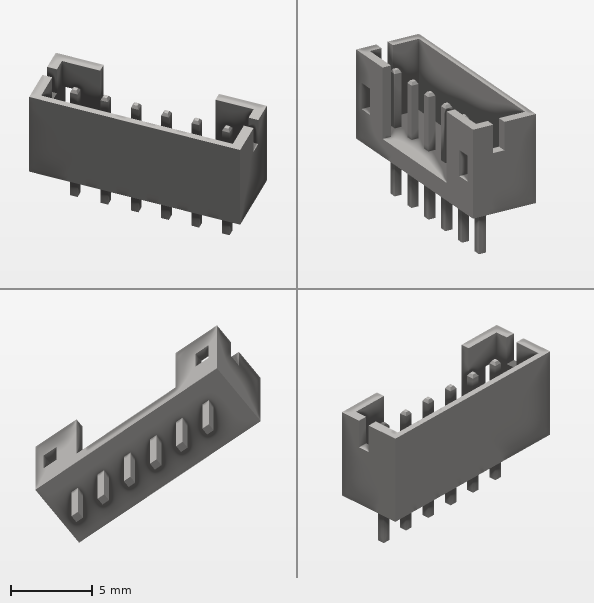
import cadquery as cq

length = 13.9
width = 4.5
height = 6.0
end_wall = 0.64
front_wall = 0.39
back_wall = 0.6
floor_thickness = 1.2

pin_count = 6
pin_pitch = 2.0
pin_size = 0.5
pin_to_back = 1.7
tail_length = 3.39
pin_tip_drop = 0.96
tip_taper_height = 0.2
tip_size = 0.26

back_opening_length = 7.59
notch_width = 0.8
notch_depth = 1.92
window_length = 1.0
window_bottom = 2.24
window_top = 4.0

back_y = pin_to_back
front_y = back_y - width
cavity_half_length = length / 2 - end_wall
cavity_front_y = front_y + front_wall
cavity_back_y = back_y - back_wall
notch_back_y = pin_size / 2


def block(x_range, y_range, z_range):
    """Box between the given limits along each axis."""
    (x0, x1), (y0, y1), (z0, z1) = x_range, y_range, z_range
    return cq.Workplane("XY").box(x1 - x0, y1 - y0, z1 - z0, centered=False).translate((x0, y0, z0))


def make_shroud():
    body = block((-length / 2, length / 2), (front_y, back_y), (0, height))
    cavity = block(
        (-cavity_half_length, cavity_half_length),
        (cavity_front_y, cavity_back_y),
        (floor_thickness, height),
    )
    back_opening = block(
        (-back_opening_length / 2, back_opening_length / 2),
        (cavity_back_y, back_y),
        (floor_thickness, height),
    )
    end_notches = block(
        (-length / 2, length / 2),
        (notch_back_y - notch_width, notch_back_y),
        (height - notch_depth, height),
    )
    return body.cut(cavity).cut(back_opening).cut(end_notches)


def make_back_windows():
    """Windows through the back wall, one against each end wall."""
    right_window = block(
        (cavity_half_length - window_length, cavity_half_length),
        (cavity_back_y, back_y),
        (window_bottom, window_top),
    )
    return right_window.union(right_window.mirror("YZ"))


def make_pin(x):
    """Square pin with a tapered tip."""
    shoulder_z = height - pin_tip_drop - tip_taper_height
    shank = (
        cq.Workplane("XY", origin=(x, 0, -tail_length))
        .rect(pin_size, pin_size)
        .extrude(tail_length + shoulder_z)
    )
    tip = (
        cq.Workplane("XY", origin=(x, 0, shoulder_z))
        .rect(pin_size, pin_size)
        .workplane(offset=tip_taper_height)
        .rect(tip_size, tip_size)
        .loft(ruled=True)
    )
    return shank.union(tip)


result = make_shroud().cut(make_back_windows())
for index in range(pin_count):
    pin_x = (index - (pin_count - 1) / 2) * pin_pitch
    result = result.union(make_pin(pin_x))